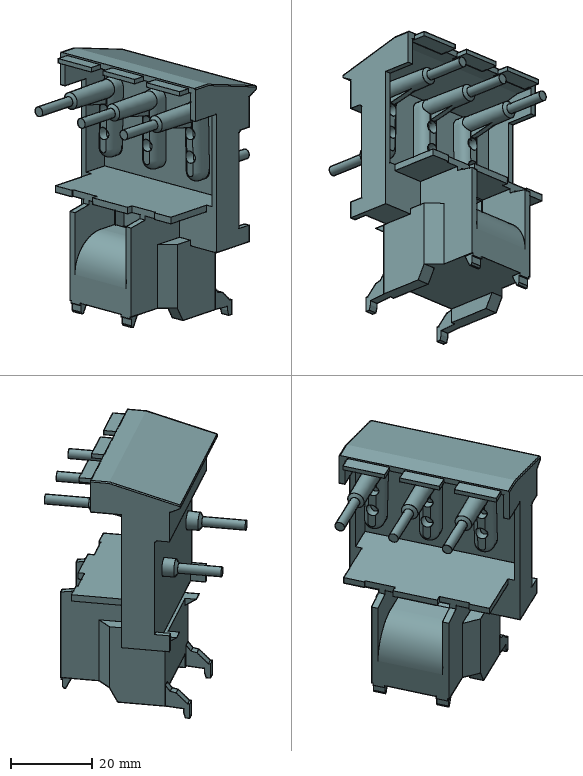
import cadquery as cq
import math

width = 44.65
top_z = 32.85
wall_front_y = -0.77
back_y = 7.6
foot_back_y = 11.33
body_bottom_z = -11.4

ridge_y = -3.75
hood_front_y = -8.54
hood_bottom_z = 24.4
lip_back_y = 14.0
lip_top_z = 28.26
lip_height = 0.85
lip_root_z = 26.06
roof_thickness = 1.5
roof_edge_chamfer = 0.3
head_bottom_z = 18.2
foot_top_z = -7.1
foot_width = 1.55
back_corner = 0.6

pocket_wall = 1.55
floor_y = 6.1
recess_width = 41.1
recess_bottom_z = 25.3
recess_back_y = 10.3

tabs = [(-14.6, 10.95), (0.0, 10.4), (14.6, 10.95)]
tab_front_y = -11.85
tab_top_z = 32.4
tab_thickness = 1.15

ledge_top_z = 0.25
ledge_thickness = 1.7
ledge_half_width = 19.1
ledge_front_y = -14.0
ledge_notch_half_width = 13.65
ledge_notch_y = -13.5
ledge_tongue_half_width = 5.8
ledge_tongue_y = -15.1

box_half_width = 10.14
box_wall = 1.7
box_front_y = -18.62
box_bottom_z = -26.4
box_back_y = 8.47
cheek_front_z = -3.35
cheek_back_z = -2.5
panel_y = -4.0
panel_recess_half_width = 8.1
panel_recess_top_z = -1.85
panel_recess_depth = 3.0
panel_recess_drop = 1.0
coil_top_z = -9.87
coil_bottom_z = -19.35

wing_half_width = 13.7
wing_top_z = -9.96
wing_front_y = -5.57
wing_bevel_y = -8.91
wing_bottom_z = -30.1
wing_toe_y = -3.48
brace_height = 1.9
wing_rim_inset = 0.1

back_hook_width = 2.45
back_hook_root_z = -24.5
back_hook_knee_y = 9.7
back_hook_knee_z = -26.0
back_hook_shoulder_y = 11.2
back_hook_shoulder_z = -26.3
back_hook_top_y = 14.1
back_hook_top_z = -29.0
back_hook_back_y = 14.62
back_hook_tip_y = 13.5
back_hook_inner_y = 13.1
back_hook_taper_z = -31.5
back_hook_inner_z = -30.4
back_hook_bottom_z = -32.85
front_hook_inner_x = 6.75
front_hook_outer_x = 9.8
front_hook_root_y = -15.87
front_hook_tip_y = -17.4
front_hook_tip_z = -29.35
front_hook_tip_length = 0.5
front_hook_tip_height = 0.55
front_hook_front_y = -18.2
front_hook_step_z = -27.0

contact_pitch = 14.06
middle_contact_x = -3.1
contact_tilt = 1.3
front_pin_z = 21.74
contact_length = 15.4
bar_radius = 2.57
bar_axis_y = 4.2
core_axis_depth = 1.2
bar_flat_width = 2.0
bar_hole_radius = 1.55
bar_hole_drops = [5.34, 11.4]
pin_radius = 1.25
pin_reach_y = 22.25
sleeve_root_radius = 2.35
front_sleeve_tip_radius = 2.15
front_sleeve_end_y = -10.5
front_cone_end_y = -11.1
back_sleeve_tip_radius = 2.25
back_sleeve_end_y = 10.6
back_cone_end_y = 11.35
rib_width = 1.5
rib_root_drop = 3.85
rib_end_y = -6.3
rib_end_drop = 1.9


def side_profile(points, x_start, x_end):
    """Prism with an outline of (Y, Z) points, running from x_start to x_end."""
    return cq.Workplane("YZ").polyline(points).close().extrude(x_end - x_start).translate((x_start, 0, 0))


def block(x_start, x_end, y_start, y_end, z_start, z_end):
    size = (x_end - x_start, y_end - y_start, z_end - z_start)
    return cq.Workplane("XY").box(*size, centered=False).translate((x_start, y_start, z_start))


def both_sides(shape):
    """The right-hand shape together with its mirror image on the left."""
    return [shape, shape.mirror("YZ")]


half_width = width / 2
roof_slope = (top_z - lip_top_z) / (lip_back_y - ridge_y)


def housing_body():
    outline = [
        (hood_front_y, top_z),
        (ridge_y, top_z),
        (lip_back_y, lip_top_z),
        (lip_back_y, lip_top_z - lip_height),
        (foot_back_y, lip_root_z),
        (foot_back_y, head_bottom_z),
        (back_y + back_corner, head_bottom_z),
        (back_y, head_bottom_z - back_corner),
        (back_y, foot_top_z),
        (foot_back_y, foot_top_z),
        (foot_back_y, body_bottom_z),
        (wall_front_y, body_bottom_z),
        (wall_front_y, hood_bottom_z),
        (hood_front_y, hood_bottom_z),
    ]
    body = side_profile(outline, -half_width, half_width)
    roof_end_edges = cq.selectors.BoxSelector(
        (-width, hood_front_y + roof_edge_chamfer, lip_top_z),
        (width, lip_back_y - roof_edge_chamfer, top_z + roof_edge_chamfer),
    )
    return body.faces("<X or >X").edges(roof_end_edges).chamfer(roof_edge_chamfer)


def ceiling_z(y):
    """Height of the pocket ceiling, which runs parallel to the roof."""
    return top_z - roof_thickness - roof_slope * max(0, y - ridge_y)


def front_pocket():
    inner = half_width - pocket_wall
    outline = [
        (hood_front_y, ledge_top_z),
        (floor_y, ledge_top_z),
        (floor_y, ceiling_z(floor_y)),
        (ridge_y, ceiling_z(ridge_y)),
        (hood_front_y, ceiling_z(ridge_y)),
    ]
    recess_outline = [
        (floor_y, recess_bottom_z),
        (recess_back_y, recess_bottom_z),
        (recess_back_y, ceiling_z(recess_back_y)),
        (floor_y, ceiling_z(floor_y)),
    ]
    pocket = side_profile(outline, -inner, inner)
    return pocket.union(side_profile(recess_outline, -recess_width / 2, recess_width / 2))


def foot_gap():
    """Space between the two feet, which stand only at the ends of the housing."""
    inner = half_width - foot_width
    return block(-inner, inner, back_y, foot_back_y, body_bottom_z, foot_top_z)


def marker_tab(center_x, tab_width):
    return block(
        center_x - tab_width / 2, center_x + tab_width / 2,
        tab_front_y, hood_front_y + roof_thickness,
        tab_top_z - tab_thickness, tab_top_z,
    )


def ledge_plate():
    right_edge = [
        (ledge_half_width, wall_front_y),
        (ledge_half_width, ledge_front_y),
        (ledge_notch_half_width, ledge_front_y),
        (ledge_notch_half_width, ledge_notch_y),
        (ledge_tongue_half_width, ledge_notch_y),
        (ledge_tongue_half_width, ledge_tongue_y),
    ]
    left_edge = [(-x, y) for x, y in reversed(right_edge)]
    plate = cq.Workplane("XY").polyline(right_edge + left_edge).close().extrude(-ledge_thickness)
    return plate.translate((0, 0, ledge_top_z))


def coil_box():
    ledge_bottom_z = ledge_top_z - ledge_thickness
    outline = [
        (wall_front_y, ledge_bottom_z),
        (ledge_notch_y, ledge_bottom_z),
        (ledge_notch_y, cheek_back_z),
        (box_front_y, cheek_front_z),
        (box_front_y, box_bottom_z),
        (box_back_y, box_bottom_z),
        (box_back_y, body_bottom_z),
        (wall_front_y, body_bottom_z),
    ]
    box = side_profile(outline, -box_half_width, box_half_width)
    coil_radius = coil_top_z - coil_bottom_z
    coil_axis_y = box_front_y + coil_radius
    arc_mid = (
        coil_axis_y - coil_radius * math.sin(math.pi / 4),
        coil_bottom_z + coil_radius * math.cos(math.pi / 4),
    )
    opening_half = box_half_width - box_wall
    opening = (
        cq.Workplane("YZ")
        .moveTo(panel_y, ledge_bottom_z)
        .lineTo(panel_y, coil_top_z)
        .lineTo(coil_axis_y, coil_top_z)
        .threePointArc(arc_mid, (box_front_y, coil_bottom_z))
        .lineTo(box_front_y, ledge_bottom_z)
        .close()
        .extrude(opening_half, both=True)
    )
    panel_recess = block(
        -panel_recess_half_width, panel_recess_half_width,
        panel_y, panel_y + panel_recess_depth,
        coil_top_z - panel_recess_drop, panel_recess_top_z,
    )
    return box.cut(opening).cut(panel_recess)


def wing():
    """Right-hand wing with its bevelled front and cut-back toe."""
    outline = [
        (wing_bevel_y, wing_top_z),
        (wing_bevel_y, box_bottom_z),
        (wing_front_y, box_bottom_z),
        (wing_toe_y, wing_bottom_z),
        (box_back_y, wing_bottom_z),
        (box_back_y, body_bottom_z),
        (wall_front_y, body_bottom_z),
        (wall_front_y, wing_top_z),
    ]
    plate = side_profile(outline, box_half_width, wing_half_width)
    bevel = (
        cq.Workplane("XY")
        .polyline([
            (box_half_width, wing_bevel_y),
            (wing_half_width, wing_bevel_y),
            (wing_half_width, wing_front_y),
        ])
        .close()
        .extrude(wing_bottom_z - wing_top_z)
        .translate((0, 0, wing_top_z))
    )
    return plate.cut(bevel)


def foot_brace():
    outline = [
        (box_back_y, body_bottom_z),
        (box_back_y, body_bottom_z - brace_height),
        (foot_back_y, body_bottom_z),
    ]
    return side_profile(outline, box_half_width, wing_half_width - wing_rim_inset)


def back_hook():
    outline = [
        (box_back_y, back_hook_root_z),
        (back_hook_knee_y, back_hook_knee_z),
        (back_hook_shoulder_y, back_hook_shoulder_z),
        (back_hook_top_y, back_hook_top_z),
        (back_hook_back_y, back_hook_top_z),
        (back_hook_back_y, back_hook_bottom_z),
        (back_hook_tip_y, back_hook_bottom_z),
        (back_hook_inner_y, back_hook_taper_z),
        (back_hook_inner_y, back_hook_inner_z),
        (box_back_y, wing_bottom_z),
    ]
    return side_profile(outline, wing_half_width - back_hook_width, wing_half_width - wing_rim_inset)


def front_hook():
    outline = [
        (front_hook_root_y, box_bottom_z),
        (front_hook_tip_y, front_hook_tip_z),
        (front_hook_tip_y - front_hook_tip_length, front_hook_tip_z),
        (front_hook_front_y, front_hook_tip_z + front_hook_tip_height),
        (front_hook_front_y, front_hook_step_z),
        (box_front_y, front_hook_step_z),
        (box_front_y, box_bottom_z),
    ]
    return side_profile(outline, front_hook_inner_x, front_hook_outer_x)


def turned(stations):
    """Solid of revolution about Y from (radius, Y) stations."""
    outline = [(0, stations[0][1])] + stations + [(0, stations[-1][1])]
    return cq.Workplane("XY").polyline(outline).close().revolve(360, (0, 0), (0, 1))


def back_stem():
    """Sleeve that passes through the pocket floor, with its pin."""
    return turned([
        (sleeve_root_radius, floor_y),
        (sleeve_root_radius, back_y),
        (back_sleeve_tip_radius, back_sleeve_end_y),
        (pin_radius, back_cone_end_y),
        (pin_radius, pin_reach_y),
    ])


def front_stem():
    return turned([
        (pin_radius, -pin_reach_y),
        (pin_radius, front_cone_end_y),
        (front_sleeve_tip_radius, front_sleeve_end_y),
        (sleeve_root_radius, bar_axis_y),
    ])


def contact_bar():
    """Round-ended bar hanging from the origin, flat on its front, with two round windows onto its core."""
    rod = cq.Workplane("XY").circle(bar_radius).extrude(-contact_length)
    core = cq.Workplane("XY").circle(bar_hole_radius).extrude(-contact_length)
    core = core.translate((0, core_axis_depth, 0))
    for end_z in (0, -contact_length):
        rod = rod.union(cq.Workplane("XY").sphere(bar_radius).translate((0, 0, end_z)))
    base = (
        cq.Workplane("XZ")
        .center(0, -contact_length / 2)
        .slot2D(contact_length + 2 * bar_radius, 2 * bar_radius, 90)
        .extrude(-(floor_y - bar_axis_y))
    )
    flat_depth = math.sqrt(bar_radius**2 - (bar_flat_width / 2) ** 2)
    keep = block(
        -bar_radius, bar_radius,
        -flat_depth, 0,
        -contact_length - bar_radius, bar_radius,
    )
    bar = rod.intersect(keep).union(base)
    for drop in bar_hole_drops:
        window = cq.Workplane("XZ").center(0, -drop).circle(bar_hole_radius)
        window = window.extrude(bar_radius + core_axis_depth).translate((0, core_axis_depth, 0))
        bar = bar.cut(window.cut(core))
    return bar.translate((0, bar_axis_y, 0))


def sleeve_rib():
    rib_root_y = bar_axis_y - bar_radius / 2
    outline = [
        (rib_root_y, 0),
        (rib_root_y, -rib_root_drop),
        (rib_end_y, -rib_end_drop),
        (rib_end_y, 0),
    ]
    return side_profile(outline, -rib_width / 2, rib_width / 2)


def contact(tilt, has_back_pin):
    """Contact about its front pin axis; the tilt swings its lower end toward -X."""
    body = contact_bar().union(front_stem()).union(sleeve_rib())
    if has_back_pin:
        body = body.union(back_stem().translate((0, 0, -contact_length)))
    return body.rotate((0, 0, 0), (0, 1, 0), tilt)


def place(shape, side):
    return shape.translate((middle_contact_x + side * contact_pitch, 0, front_pin_z))


housing = housing_body().cut(front_pocket()).cut(foot_gap())
for tab_x, tab_width in tabs:
    housing = housing.union(marker_tab(tab_x, tab_width))
housing = housing.union(ledge_plate()).union(coil_box())
for feature in (wing(), foot_brace(), back_hook(), front_hook()):
    for half in both_sides(feature):
        housing = housing.union(half)

contacts = []
for side in (-1, 0, 1):
    tilt = -side * contact_tilt
    has_back_pin = side != 0
    contacts.append(place(contact(tilt, has_back_pin), side))
    if has_back_pin:
        stem = back_stem().translate((0, 0, -contact_length)).rotate((0, 0, 0), (0, 1, 0), tilt)
        housing = housing.cut(place(stem, side))

result = cq.Compound.makeCompound([housing.val()] + [part.val() for part in contacts])